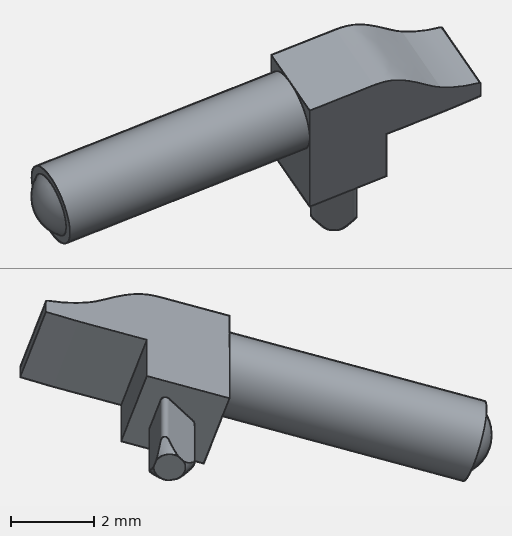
import cadquery as cq
import math

WIDTH = 2.0
TOTAL_LENGTH = 11.55
TOTAL_HEIGHT = 5.64

SHAFT_LENGTH = 6.5
SHAFT_RADIUS = WIDTH / 2
DOME_HEIGHT = 0.4
DOME_BASE_RADIUS = 0.8
DOME_SPHERE_RADIUS = (DOME_BASE_RADIUS**2 + DOME_HEIGHT**2) / (2 * DOME_HEIGHT)

TAIL_END = TOTAL_LENGTH - SHAFT_LENGTH - DOME_HEIGHT
BLOCK_LENGTH = 2.09
BLOCK_HEIGHT = 3.53
TAIL_UNDERSIDE = -1.99
TAIL_END_BOTTOM = -1.95
TAIL_END_TOP = -1.45
TAIL_TIP_RADIUS = 0.07
TAIL_TAPER_START = 3.81
SHOULDER_START = 1.74
SHOULDER_POINTS = [(2.55, -0.25), (3.2, -0.77), (3.55, -1.04)]
SHOULDER_END_SLOPE = math.radians(32)

PIN_FLAT_Y = 1.56
PIN_INRADIUS = 0.37
PIN_CORNER_RADIUS = 0.12
PIN_LENGTH = TOTAL_HEIGHT - BLOCK_HEIGHT
PIN_TIP_RADIUS = 0.38
PIN_TIP_HALF_ANGLE = math.radians(30)


def make_body():
    level = (1, 0)
    falling = (math.cos(SHOULDER_END_SLOPE), -math.sin(SHOULDER_END_SLOPE))
    profile = (
        cq.Workplane("YZ", origin=(-WIDTH / 2, 0, 0))
        .lineTo(SHOULDER_START, 0)
        .spline(SHOULDER_POINTS, tangents=[level, falling], includeCurrent=True)
        .tangentArcPoint((TAIL_END, TAIL_END_TOP), relative=False)
        .lineTo(TAIL_END, TAIL_END_BOTTOM)
        .lineTo(TAIL_TAPER_START, TAIL_UNDERSIDE)
        .lineTo(BLOCK_LENGTH, TAIL_UNDERSIDE)
        .lineTo(BLOCK_LENGTH, -BLOCK_HEIGHT)
        .lineTo(0, -BLOCK_HEIGHT)
        .close()
    )
    body = profile.extrude(WIDTH)
    tip_top_edge = cq.NearestToPointSelector((0, TAIL_END, TAIL_END_TOP))
    return body.edges(tip_top_edge).fillet(TAIL_TIP_RADIUS)


def make_shaft():
    shaft_end = -SHAFT_LENGTH
    dome_tip = shaft_end - DOME_HEIGHT
    sphere_centre = dome_tip + DOME_SPHERE_RADIUS
    half_angle = math.asin(DOME_BASE_RADIUS / DOME_SPHERE_RADIUS) / 2
    dome_middle = (
        DOME_SPHERE_RADIUS * math.sin(half_angle),
        sphere_centre - DOME_SPHERE_RADIUS * math.cos(half_angle),
    )
    return (
        cq.Workplane("ZY", origin=(0, 0, -SHAFT_RADIUS))
        .lineTo(SHAFT_RADIUS, 0)
        .lineTo(SHAFT_RADIUS, shaft_end)
        .lineTo(DOME_BASE_RADIUS, shaft_end)
        .threePointArc(dome_middle, (0, dome_tip))
        .close()
        .revolve(360, (0, 0, 0), (0, 1, 0))
    )


def make_pin():
    axis_y = PIN_FLAT_Y - PIN_INRADIUS
    half_side = PIN_INRADIUS * math.sqrt(3)
    corners = [(-half_side, PIN_INRADIUS), (half_side, PIN_INRADIUS), (0, -2 * PIN_INRADIUS)]
    prism = (
        cq.Workplane("XY", origin=(0, axis_y, -TOTAL_HEIGHT))
        .polyline(corners)
        .close()
        .extrude(PIN_LENGTH)
        .edges("|Z")
        .fillet(PIN_CORNER_RADIUS)
    )
    top_radius = PIN_TIP_RADIUS + PIN_LENGTH * math.tan(PIN_TIP_HALF_ANGLE)
    cone = cq.Solid.makeCone(
        PIN_TIP_RADIUS, top_radius, PIN_LENGTH, pnt=cq.Vector(0, axis_y, -TOTAL_HEIGHT)
    )
    return prism.intersect(cq.Workplane(obj=cone))


result = make_body().union(make_shaft()).union(make_pin())